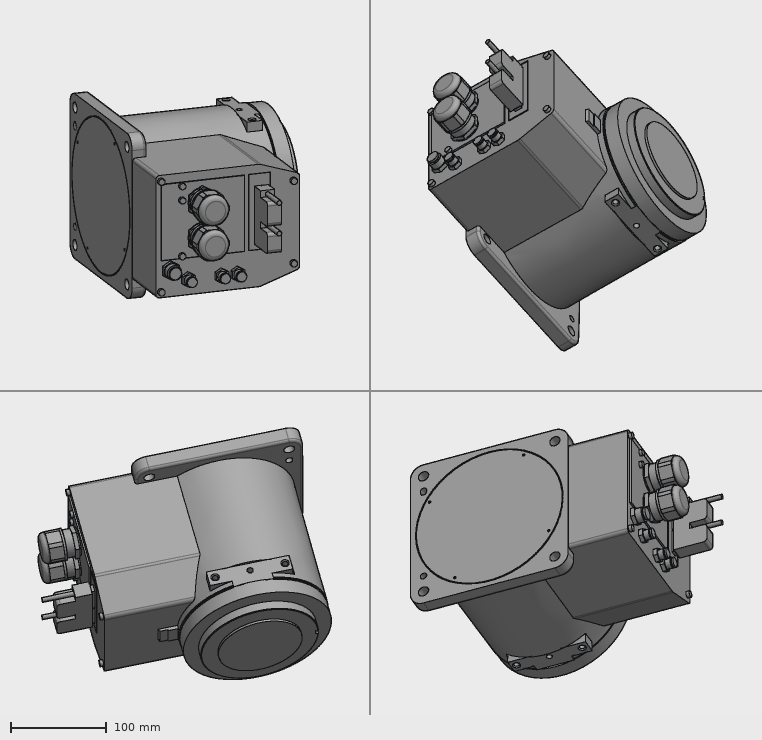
import cadquery as cq
import math

PLATE_SIDE = 180.0
PLATE_CORNER_RADIUS = 15.0
PLATE_THICKNESS = 16.5
PLATE_CROWN_LEFT = 1.9
PLATE_CROWN_RIGHT = 0.1
PLATE_EDGE_FILLET = 3.0
MOUNT_HOLE_PITCH = 150.0
MOUNT_HOLE_DIAMETER = 11.5
DOWEL_OFFSET_Z = 55.0
DOWEL_DIAMETER = 7.2
DOWEL_SLOT_LENGTH = 8.8
COVER_RADIUS = 83.3
COVER_GAP = 0.8
COVER_GAP_DEPTH = 1.5
COVER_SCREW_CIRCLE = 78.5
COVER_SCREW_ANGLES = (60, 150, 240, 330)
COVER_SCREW_DIAMETER = 2.5
COVER_SCREW_DEPTH = 2.0

HOUSING_FRONT_RADIUS = 80.6
HOUSING_REAR_RADIUS = 80.1
HOUSING_REAR_Y = 168.5
RING_RADIUS = 79.5
RING_FRONT_Y = 170.3
RING_REAR_Y = 187.2
GROOVE_RADIUS = 78.5
HUB_RADIUS = 63.2
HUB_REAR_Y = 197.3
HUB_CHAMFER = 0.8
PILOT_RADIUS = 45.0
PILOT_REAR_Y = 200.0
KEY_SLOT_WIDTH = 4.8
KEY_SLOT_FRONT_Y = 190.5
KEY_SLOT_DEPTH = 3.0

PAD_HEIGHT_Z = 77.2
PAD_FRONT_Y = 146.0
PAD_REAR_Y = 163.3
PAD_LEFT_X = -43.8
PAD_RIGHT_X = 45.0
PAD_FOOT_LEFT_X = -45.4
PAD_FOOT_Z = 69.2
PAD_BASE_Z = 60.0
PAD_NECK_HALF_WIDTH = 21.5
PAD_HOLE_Y = 154.5
PAD_HOLE_OFFSET = 37.5
PAD_HOLE_DIAMETER = 6.0
PAD_SINK_DIAMETER = 8.6
PAD_CENTRE_HOLE_DIAMETER = 6.2
PAD_HOLE_DEPTH = 10.0

BOX_END_X = 157.7
BOX_HALF_Z = 66.8
BOX_FRONT_Y = 0.7
BOX_REAR_Y = 161.3
BOX_BEND_Y = 116.5
BOX_REAR_HALF_Z = 52.0
BOX_FRONT_FILLET = 3.7
BOX_REAR_FILLET = 4.8
BOX_BEND_FILLET = 10.0
BUMP_STEP_X = 90.5
BUMP_END_X = 100.5
BUMP_SLOPE_RUN = 1.5
BUMP_HALF_Z = 10.0
BUMP_HIGH_Y = 165.5
BUMP_LOW_Y = 164.2

CORNER_SCREW_HEAD_DIAMETER = 7.2
CORNER_SCREW_HEAD_HEIGHT = 3.7
CORNER_SCREW_FRONT = (5.8, 60.2)
CORNER_SCREW_REAR = (153.9, 45.0)
GLAND_PANEL_END_X = 159.6
GLAND_PANEL_Y = (6.0, 99.0)
GLAND_PANEL_Z = (-26.0, 57.0)
PLUG_PANEL_END_X = 158.6
PLUG_PANEL_Y = (104.0, 128.2)
PLUG_PANEL_Z = (-26.0, 57.0)
PANEL_SCREW_DIAMETER = 7.0
PANEL_SCREW_END_X = 163.0
PANEL_SCREW_Y = 28.6
PANEL_SCREW_Z = (-22.9, 37.9, 53.5)
GLAND_Y = 50.8
GLAND_Z = (34.2, -4.0)
SOCKET_ROW_Z = -49.5
SOCKET_Y = (91.3, 73.3, 36.0)
LARGE_SOCKET_YZ = (16.6, -37.5)
SMALL_SOCKET = dict(nut_flats=13.8, body_radius=5.5, tip_radius=5.5, body_end=168.2, end_x=171.5)
LARGE_SOCKET = dict(nut_flats=17.3, body_radius=8.0, tip_radius=6.7, body_end=169.5, end_x=173.4)
PLUG_Y = 116.8
PLUG_WIDTH = 15.8
PLUG_FRONT_X = 161.9
PLUG_STEP_X = 180.0
PLUG_END_X = 200.0
PLUG_END_FILLET = 3.7
PLUG_BOTTOM_Z = (11.0, -18.5)
PLUG_SHOULDER_DROP = 2.9
PLUG_TOP_RISE = 4.4
PLUG_NECK_WIDTH = 8.4
CABLE_Z = (40.5, 7.0)
CABLE_DIAMETER = 5.2
CABLE_END_X = 214.0

OVERLAP = 1.0


def box(x_range, y_range, z_range):
    """Axis-aligned block between the given limits."""
    size = [high - low for low, high in (x_range, y_range, z_range)]
    return cq.Workplane("XY").box(*size, centered=False).translate((x_range[0], y_range[0], z_range[0]))


def disc_y(radius, start_y, end_y, x=0.0, z=0.0):
    """Cylinder along Y."""
    base = cq.Vector(x, start_y, z)
    return cq.Workplane(cq.Solid.makeCylinder(radius, end_y - start_y, base, cq.Vector(0, 1, 0)))


def disc_x(radius, start_x, end_x, y, z):
    """Cylinder along X."""
    base = cq.Vector(start_x, y, z)
    return cq.Workplane(cq.Solid.makeCylinder(radius, end_x - start_x, base, cq.Vector(1, 0, 0)))


def hexagon_x(across_flats, start_x, end_x, y, z, turn=0.0):
    """Hexagonal prism along X; with no turn two corners point along Y."""
    corner_diameter = across_flats / math.cos(math.pi / 6)
    prism = cq.Workplane("YZ").polygon(6, corner_diameter).extrude(end_x - start_x)
    return prism.rotate((0, 0, 0), (1, 0, 0), turn).translate((start_x, y, z))


def crown_section(crown, x):
    """Cross-section of the plate at one X, closed by an arc on the back face."""
    half = PLATE_SIDE / 2
    return (
        cq.Workplane("YZ", origin=(x, 0, 0))
        .moveTo(0, -half)
        .lineTo(PLATE_THICKNESS, -half)
        .threePointArc((PLATE_THICKNESS + crown, 0), (PLATE_THICKNESS, half))
        .lineTo(0, half)
        .close()
        .wires()
        .val()
    )


def make_plate():
    """Square plate whose back face bulges toward the -X edge."""
    half = PLATE_SIDE / 2
    sections = [crown_section(PLATE_CROWN_LEFT, -half), crown_section(PLATE_CROWN_RIGHT, half)]
    plate = cq.Workplane(cq.Solid.makeLoft(sections, True))
    outline = box((-half, half), (0, 2 * PLATE_THICKNESS), (-half, half))
    outline = outline.edges("|Y").fillet(PLATE_CORNER_RADIUS)
    plate = plate.intersect(outline)
    return plate.faces(">Y").edges().fillet(PLATE_EDGE_FILLET)


def cut_plate_details(body):
    """Mounting holes, locating holes and the outline of the front cover disc."""
    hole_end = 2 * PLATE_THICKNESS
    offset = MOUNT_HOLE_PITCH / 2
    for x in (-offset, offset):
        for z in (-offset, offset):
            body = body.cut(disc_y(MOUNT_HOLE_DIAMETER / 2, 0, hole_end, x, z))
    body = body.cut(disc_y(DOWEL_DIAMETER / 2, 0, hole_end, -offset, -DOWEL_OFFSET_Z))
    slot = (
        cq.Workplane("XZ")
        .center(-offset, DOWEL_OFFSET_Z)
        .slot2D(DOWEL_SLOT_LENGTH, DOWEL_DIAMETER, 90)
        .extrude(-hole_end)
    )
    body = body.cut(slot)
    gap = disc_y(COVER_RADIUS + COVER_GAP, 0, COVER_GAP_DEPTH).cut(disc_y(COVER_RADIUS, 0, COVER_GAP_DEPTH))
    body = body.cut(gap)
    for angle in COVER_SCREW_ANGLES:
        x = COVER_SCREW_CIRCLE * math.cos(math.radians(angle))
        z = COVER_SCREW_CIRCLE * math.sin(math.radians(angle))
        body = body.cut(disc_y(COVER_SCREW_DIAMETER / 2, 0, COVER_SCREW_DEPTH, x, z))
    return body


def make_housing():
    """Slightly tapered housing with flats at the pads, then groove, ring, hub and pilot."""
    core = (
        cq.Workplane("XY")
        .polyline([
            (0, COVER_GAP_DEPTH + OVERLAP),
            (HOUSING_FRONT_RADIUS, COVER_GAP_DEPTH + OVERLAP),
            (HOUSING_REAR_RADIUS, HOUSING_REAR_Y),
            (0, HOUSING_REAR_Y),
        ])
        .close()
        .revolve(360, (0, 0, 0), (0, 1, 0))
    )
    for side in (-1, 1):
        low, high = sorted((side * PAD_HEIGHT_Z, side * PLATE_SIDE))
        core = core.cut(box((-PLATE_SIDE, PLATE_SIDE), (PAD_FRONT_Y, HOUSING_REAR_Y), (low, high)))
    groove = disc_y(GROOVE_RADIUS, HOUSING_REAR_Y - OVERLAP, RING_FRONT_Y)
    groove = groove.intersect(
        box((-PLATE_SIDE, PLATE_SIDE), (PAD_FRONT_Y, RING_REAR_Y), (-PAD_HEIGHT_Z, PAD_HEIGHT_Z))
    )
    ring = disc_y(RING_RADIUS, RING_FRONT_Y, RING_REAR_Y)
    hub = disc_y(HUB_RADIUS, RING_REAR_Y, HUB_REAR_Y).faces(">Y").chamfer(HUB_CHAMFER)
    key_slot = box(
        (-HUB_RADIUS, -HUB_RADIUS + KEY_SLOT_DEPTH),
        (KEY_SLOT_FRONT_Y, HUB_REAR_Y),
        (-KEY_SLOT_WIDTH / 2, KEY_SLOT_WIDTH / 2),
    )
    pilot = disc_y(PILOT_RADIUS, HUB_REAR_Y, PILOT_REAR_Y)
    return core.union(groove).union(ring).union(hub.cut(key_slot)).union(pilot)


def make_pad():
    """Flat pad on the +Z side: a wide bar with a flared foot at its -X end and a neck to the ring."""
    bar = (
        cq.Workplane("XZ")
        .polyline([
            (PAD_FOOT_LEFT_X, PAD_BASE_Z),
            (PAD_FOOT_LEFT_X, PAD_FOOT_Z + PAD_FOOT_LEFT_X - PAD_LEFT_X),
            (PAD_LEFT_X, PAD_FOOT_Z),
            (PAD_LEFT_X, PAD_HEIGHT_Z),
            (PAD_RIGHT_X, PAD_HEIGHT_Z),
            (PAD_RIGHT_X, PAD_BASE_Z),
        ])
        .close()
        .extrude(-(PAD_REAR_Y - PAD_FRONT_Y))
        .translate((0, PAD_FRONT_Y, 0))
    )
    neck = box(
        (-PAD_NECK_HALF_WIDTH, PAD_NECK_HALF_WIDTH), (PAD_FRONT_Y, RING_FRONT_Y), (PAD_BASE_Z, PAD_HEIGHT_Z)
    )
    return bar.union(neck)


def make_pad_holes():
    """Countersunk screw holes and the plain centre hole of the +Z pad."""
    plane = cq.Workplane("XY", origin=(0, PAD_HOLE_Y, PAD_HEIGHT_Z))
    sink_depth = (PAD_SINK_DIAMETER - PAD_HOLE_DIAMETER) / 2
    screws = plane.pushPoints([(-PAD_HOLE_OFFSET, 0), (PAD_HOLE_OFFSET, 0)])
    holes = screws.circle(PAD_HOLE_DIAMETER / 2).extrude(-PAD_HOLE_DEPTH)
    for x in (-PAD_HOLE_OFFSET, PAD_HOLE_OFFSET):
        sink = cq.Solid.makeCone(
            PAD_SINK_DIAMETER / 2,
            PAD_HOLE_DIAMETER / 2,
            sink_depth,
            cq.Vector(x, PAD_HOLE_Y, PAD_HEIGHT_Z),
            cq.Vector(0, 0, -1),
        )
        holes = holes.union(cq.Workplane(sink))
    return holes.union(plane.circle(PAD_CENTRE_HOLE_DIAMETER / 2).extrude(-PAD_HOLE_DEPTH))


def make_terminal_box():
    """Box beside the housing, tapering in Z toward its rear, with a low bump on the rear face."""
    outline = [
        (BOX_FRONT_Y, -BOX_HALF_Z),
        (BOX_BEND_Y, -BOX_HALF_Z),
        (BOX_REAR_Y, -BOX_REAR_HALF_Z),
        (BOX_REAR_Y, BOX_REAR_HALF_Z),
        (BOX_BEND_Y, BOX_HALF_Z),
        (BOX_FRONT_Y, BOX_HALF_Z),
    ]
    case = cq.Workplane("YZ").polyline(outline).close().extrude(BOX_END_X)
    case = case.faces("<Y").edges("|X").fillet(BOX_FRONT_FILLET)
    case = case.faces(">Y").edges("|X").fillet(BOX_REAR_FILLET)
    bends = case.edges(cq.selectors.BoxSelector(
        (0, BOX_BEND_Y - OVERLAP, -PLATE_SIDE), (BOX_END_X, BOX_BEND_Y + OVERLAP, PLATE_SIDE)
    ))
    case = bends.edges("|X").fillet(BOX_BEND_FILLET)
    bump = (
        cq.Workplane("XY")
        .polyline([
            (PILOT_RADIUS, BOX_BEND_Y),
            (PILOT_RADIUS, BUMP_HIGH_Y),
            (BUMP_STEP_X, BUMP_HIGH_Y),
            (BUMP_STEP_X, BUMP_LOW_Y),
            (BUMP_END_X - BUMP_SLOPE_RUN, BUMP_LOW_Y),
            (BUMP_END_X, BOX_REAR_Y),
            (BUMP_END_X, BOX_BEND_Y),
        ])
        .close()
        .extrude(BUMP_HALF_Z, both=True)
    )
    return case.union(bump)


def make_end_panels():
    """Thin panels and screw heads on the end face of the terminal box."""
    start = BOX_END_X - OVERLAP
    panels = box((start, GLAND_PANEL_END_X), GLAND_PANEL_Y, GLAND_PANEL_Z)
    panels = panels.union(box((start, PLUG_PANEL_END_X), PLUG_PANEL_Y, PLUG_PANEL_Z))
    head_end = BOX_END_X + CORNER_SCREW_HEAD_HEIGHT
    for y, offset_z in (CORNER_SCREW_FRONT, CORNER_SCREW_REAR):
        for z in (-offset_z, offset_z):
            panels = panels.union(disc_x(CORNER_SCREW_HEAD_DIAMETER / 2, start, head_end, y, z))
    for z in PANEL_SCREW_Z:
        panels = panels.union(disc_x(PANEL_SCREW_DIAMETER / 2, start, PANEL_SCREW_END_X, PANEL_SCREW_Y, z))
    return panels


def make_gland(z):
    """Cable gland: lock nut, round body, flange and domed hexagonal cap."""
    nut_flats = 30.5
    nut_start = 161.2
    nut_end = 166.0
    body_radius = 15.1
    flange_start = 175.0
    flange_end = 177.8
    flange_radius = 17.2
    cap_flats = 33.4
    cap_corner_radius = 18.1
    cap_end = 193.2
    dome_end = 199.8
    dome_fillet = 5.5
    start = GLAND_PANEL_END_X - OVERLAP
    gland = disc_x(body_radius, start, flange_end, GLAND_Y, z)
    gland = gland.union(hexagon_x(nut_flats, nut_start, nut_end, GLAND_Y, z, 30))
    gland = gland.union(disc_x(flange_radius, flange_start, flange_end, GLAND_Y, z))
    cap = hexagon_x(cap_flats, flange_end, cap_end, GLAND_Y, z)
    cap = cap.intersect(disc_x(cap_corner_radius, flange_end, cap_end, GLAND_Y, z))
    dome = disc_x(cap_flats / 2, cap_end - OVERLAP, dome_end, GLAND_Y, z)
    dome = dome.faces(">X").edges().fillet(dome_fillet)
    return gland.union(cap).union(dome)


def make_socket(y, z, nut_flats, body_radius, tip_radius, body_end, end_x):
    """Round connector: hex nut, threaded body, narrow waist and end collar."""
    nut_end = 162.2
    waist_length = 1.0
    waist_depth = 1.2
    start = BOX_END_X - OVERLAP
    socket = hexagon_x(nut_flats, start, nut_end, y, z, 30)
    socket = socket.union(disc_x(body_radius, start, body_end, y, z))
    socket = socket.union(disc_x(tip_radius - waist_depth, start, end_x, y, z))
    return socket.union(disc_x(tip_radius, body_end + waist_length, end_x, y, z))


def make_plug(cable_z, bottom):
    """Stepped plug with a neck to its panel, a rounded lower half and a cable above the shoulder."""
    half = PLUG_WIDTH / 2
    sides = (PLUG_Y - half, PLUG_Y + half)
    top = cable_z + PLUG_TOP_RISE
    nose = box((PLUG_FRONT_X, PLUG_END_X), sides, (bottom, cable_z - PLUG_SHOULDER_DROP))
    nose = nose.faces(">X").edges("|Y").fillet(PLUG_END_FILLET)
    plug = nose.union(box((PLUG_FRONT_X, PLUG_STEP_X), sides, (bottom, top)))
    neck_half = PLUG_NECK_WIDTH / 2
    neck = box(
        (PLUG_PANEL_END_X - OVERLAP, PLUG_FRONT_X + OVERLAP),
        (PLUG_Y - neck_half, PLUG_Y + neck_half),
        (bottom + OVERLAP, top - OVERLAP),
    )
    cable = disc_x(CABLE_DIAMETER / 2, PLUG_STEP_X - OVERLAP, CABLE_END_X, PLUG_Y, cable_z)
    return plug.union(neck).union(cable)


pad = make_pad()
pad_holes = make_pad_holes()
part = make_plate().union(make_housing()).union(make_terminal_box())
part = part.union(pad).union(pad.mirror("XY"))
part = part.cut(pad_holes).cut(pad_holes.mirror("XY"))
part = cut_plate_details(part)
part = part.union(make_end_panels())
for plug_cable_z, plug_bottom_z in zip(CABLE_Z, PLUG_BOTTOM_Z):
    part = part.union(make_plug(plug_cable_z, plug_bottom_z))
for gland_z in GLAND_Z:
    part = part.union(make_gland(gland_z))
for socket_y in SOCKET_Y:
    part = part.union(make_socket(socket_y, SOCKET_ROW_Z, **SMALL_SOCKET))
part = part.union(make_socket(*LARGE_SOCKET_YZ, **LARGE_SOCKET))

result = part